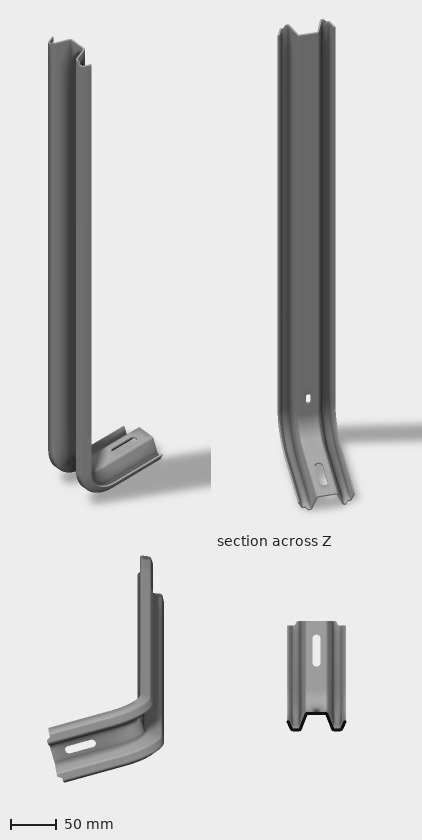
import cadquery as cq
import math

WIDTH = 64.5
FOOT_LENGTH = 120.0
POST_HEIGHT = 645.0
BEND_RADIUS = 45.0

SECTION_DEPTH = 20.0
SHEET = 2.0
WEB_HALF_WIDTH = 10.0
FLANGE_INNER = 17.5
FLANGE_OUTER = 28.0
LIP_HEIGHT = 10.0
INSIDE_FOLD_RADIUS = 0.95
OUTSIDE_FOLD_RADIUS = INSIDE_FOLD_RADIUS + SHEET

NOTCH_DEPTH = 4.5
NOTCH_HALF_WIDTH = 21.0
NOTCH_SLOPE = 2.5

FOOT_SLOT_LENGTH = 35.0
FOOT_SLOT_WIDTH = 9.0
FOOT_SLOT_FROM_END = 32.0
POST_SLOT_LENGTH = 14.0
POST_SLOT_WIDTH = 6.0
POST_SLOT_HEIGHT = 69.5


def unit_normal(start, end):
    """Left-hand normal of a segment."""
    length = math.dist(start, end)
    return (start[1] - end[1]) / length, (end[0] - start[0]) / length


def offset_points(points, distance):
    """Offset an open polyline to its left, with mitred corners."""
    normals = [unit_normal(a, b) for a, b in zip(points, points[1:])]
    before = normals[:1] + normals
    after = normals + normals[-1:]
    moved = []
    for (x, y), m, n in zip(points, before, after):
        stretch = distance / (1 + m[0] * n[0] + m[1] * n[1])
        moved.append((x + stretch * (m[0] + n[0]), y + stretch * (m[1] + n[1])))
    return moved


def fold_selector(corners):
    """Tiny boxes that pick the section's vertices at the given corners."""
    reach = 0.05
    selector = None
    for x, y in corners:
        box = cq.selectors.BoxSelector((x - reach, y - reach, -reach), (x + reach, y + reach, reach))
        selector = box if selector is None else selector + box
    return selector


def hat_section():
    """Section in X and depth; depth 0 is the outer face of the flanges."""
    web_level = SECTION_DEPTH - SHEET
    right = [
        (WEB_HALF_WIDTH, web_level),
        (FLANGE_INNER, 0),
        (FLANGE_OUTER, 0),
        (WIDTH / 2, LIP_HEIGHT),
    ]
    left = [(-x, y) for x, y in reversed(right)]
    face = left + right
    back = offset_points(face, SHEET)
    outline = face + back[::-1]
    sketch = cq.Sketch().polygon(outline + outline[:1])

    web_folds = (3, 4)
    flange_folds = (1, 2, 5, 6)
    inside = [face[i] for i in web_folds] + [back[i] for i in flange_folds]
    outside = [back[i] for i in web_folds] + [face[i] for i in flange_folds]
    for corners, radius in ((inside, INSIDE_FOLD_RADIUS), (outside, OUTSIDE_FOLD_RADIUS)):
        sketch = sketch.reset().vertices(fold_selector(corners)).fillet(radius)
    return sketch.reset()


def bent_strip():
    """Sweep the section down the post, round the elbow and out along the foot."""
    diagonal = BEND_RADIUS * (1 - math.sqrt(0.5))
    path = (
        cq.Workplane("YZ")
        .moveTo(0, POST_HEIGHT)
        .lineTo(0, BEND_RADIUS)
        .threePointArc((diagonal, diagonal), (BEND_RADIUS, 0))
        .lineTo(FOOT_LENGTH, 0)
    )
    top = cq.Workplane("XY", origin=(0, 0, POST_HEIGHT))
    return top.placeSketch(hat_section()).sweep(path)


def lip_notches(plane, end):
    """Cutters for the two lip corners of one free end, through the section depth."""
    right = [
        (NOTCH_HALF_WIDTH, end),
        (NOTCH_HALF_WIDTH + NOTCH_SLOPE, end - NOTCH_DEPTH),
        (WIDTH, end - NOTCH_DEPTH),
        (WIDTH, end),
    ]
    half = cq.Workplane(plane).polyline(right).close().extrude(SECTION_DEPTH, both=True)
    return half.union(half.mirror("YZ"))


def web_slot(plane, position, length, width):
    """Cutter for a round-ended slot running along the strip."""
    slot = cq.Workplane(plane).center(0, position).slot2D(length, width, 90)
    return slot.extrude(2 * SECTION_DEPTH, both=True)


result = (
    bent_strip()
    .cut(lip_notches("XZ", POST_HEIGHT))
    .cut(lip_notches("XY", FOOT_LENGTH))
    .cut(web_slot("XZ", POST_SLOT_HEIGHT, POST_SLOT_LENGTH, POST_SLOT_WIDTH))
    .cut(web_slot("XY", FOOT_LENGTH - FOOT_SLOT_FROM_END, FOOT_SLOT_LENGTH, FOOT_SLOT_WIDTH))
)